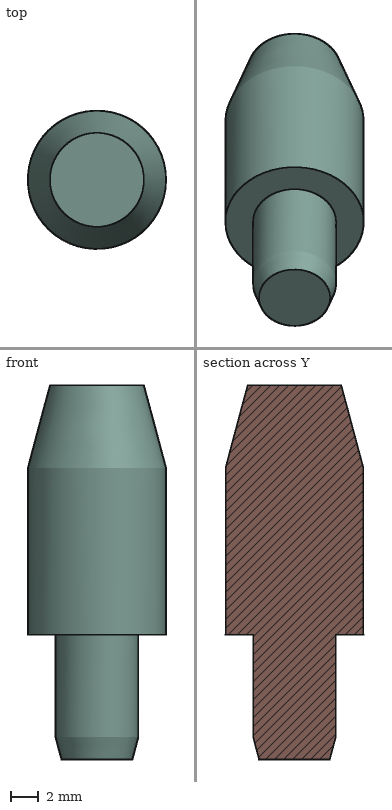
import cadquery as cq
import math

total_length = 27.0
body_diameter = 10.0
shank_diameter = 6.0
shank_length = 9.0
head_taper_length = 6.0
tip_taper_length = 1.62
taper_angle = 15.0

body_radius = body_diameter / 2
shank_radius = shank_diameter / 2
taper_slope = math.tan(math.radians(taper_angle))
head_radius = body_radius - head_taper_length * taper_slope
tip_radius = shank_radius - tip_taper_length * taper_slope

half_section = [
    (0, 0),
    (tip_radius, 0),
    (shank_radius, tip_taper_length),
    (shank_radius, shank_length),
    (body_radius, shank_length),
    (body_radius, total_length - head_taper_length),
    (head_radius, total_length),
    (0, total_length),
]

result = (
    cq.Workplane("XZ")
    .polyline(half_section)
    .close()
    .revolve(360, (0, 0, 0), (0, 1, 0))
)